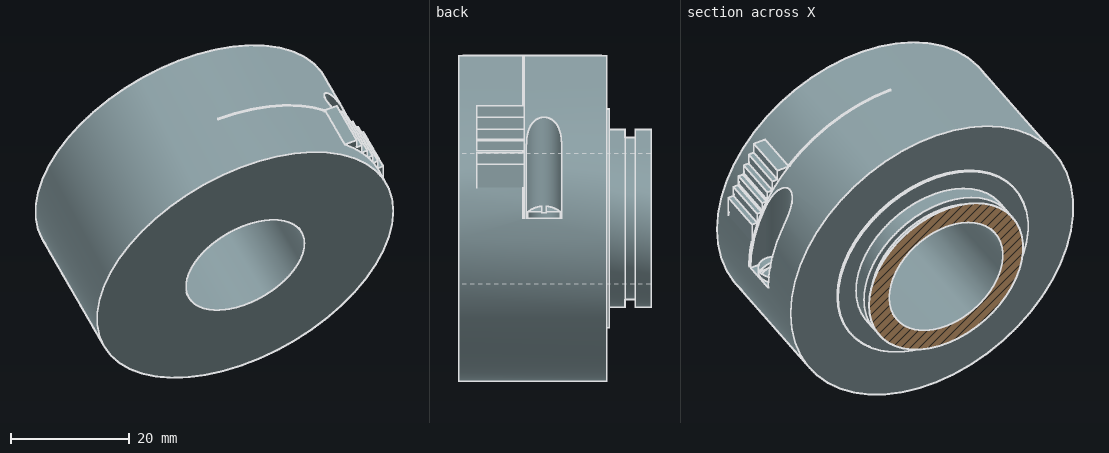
import cadquery as cq
import math

body_radius = 27.5
shoulder_radius = 18.5
nose_radius = 15.0
nose_groove_radius = 13.7
bore_radius = 11.0

nose_groove_start = 2.75
nose_groove_end = 4.4
shoulder_start = 7.1
body_start = 7.5
total_length = 32.5

grip_start = 21.45
grip_end = 29.5
step_count = 6
step_rise = 2.0
step_run = 1.0
grip_top_z = 19.05
top_step_y = 22.05
grip_embed = 1.1

clearance_width = 0.2
clearance_depth = 1.1

screw_x = 18.1
screw_y = 24.55
pocket_radius = 2.95
pocket_floor_z = 0.0
head_radius = 2.75
head_rim_height = 1.1
dome_height = 1.0
slot_width = 0.75
slot_depth = 1.1


def cylinder(radius, start, end):
    """Cylinder centred on the X axis between two X positions."""
    return cq.Workplane("YZ", origin=(start, 0, 0)).circle(radius).extrude(end - start)


def turned_body():
    nose = cylinder(nose_radius, 0, shoulder_start)
    groove = cylinder(nose_radius, nose_groove_start, nose_groove_end).cut(
        cylinder(nose_groove_radius, nose_groove_start, nose_groove_end)
    )
    shoulder = cylinder(shoulder_radius, shoulder_start, body_start)
    drum = cylinder(body_radius, body_start, total_length)
    bore = cylinder(bore_radius, 0, total_length)
    return nose.cut(groove).union(shoulder).union(drum).cut(bore)


def clearance_groove():
    """Quarter ring from the top of the body round to its +Y side."""
    end = grip_start + clearance_width
    ring = cylinder(body_radius, grip_start, end).cut(
        cylinder(body_radius - clearance_depth, grip_start, end)
    )
    quadrant = cq.Workplane("XY", origin=(grip_start, 0, 0)).box(
        clearance_width, body_radius, body_radius, centered=False
    )
    return ring.intersect(quadrant)


def stepped_grip():
    """Staircase of blocks, each reaching from its riser to inside the body surface."""
    root_radius = body_radius - grip_embed
    root = cylinder(root_radius, grip_start, grip_end)
    grip = cq.Workplane("XY")
    for step in range(step_count):
        block = cq.Workplane("XY", origin=(grip_start, 0, 0)).box(
            grip_end - grip_start,
            top_step_y + step * step_run,
            grip_top_z - step * step_rise,
            centered=False,
        )
        grip = grip.union(block.cut(root))
    return grip


def screw_pocket():
    floor = cq.Workplane("XY", origin=(screw_x, screw_y, pocket_floor_z))
    round_end = floor.circle(pocket_radius).extrude(body_radius)
    opening = floor.box(
        2 * pocket_radius, body_radius, body_radius, centered=(True, False, False)
    )
    return round_end.union(opening)


def screw_head():
    arc_mid_radius = head_radius / 2
    sphere_radius = (head_radius**2 + dome_height**2) / (2 * dome_height)
    sphere_drop = sphere_radius - dome_height
    arc_mid_height = head_rim_height + math.sqrt(sphere_radius**2 - arc_mid_radius**2) - sphere_drop
    head_top = head_rim_height + dome_height
    head = (
        cq.Workplane("XZ")
        .lineTo(head_radius, 0)
        .lineTo(head_radius, head_rim_height)
        .threePointArc((arc_mid_radius, arc_mid_height), (0, head_top))
        .close()
        .revolve(360, (0, 0, 0), (0, 1, 0))
    )
    slot = cq.Workplane("XY", origin=(0, 0, head_top - slot_depth)).box(
        slot_width, 2 * head_radius, slot_depth, centered=(True, True, False)
    )
    return head.cut(slot).translate((screw_x, screw_y, pocket_floor_z))


result = (
    turned_body()
    .cut(clearance_groove())
    .union(stepped_grip())
    .cut(screw_pocket())
    .union(screw_head())
)